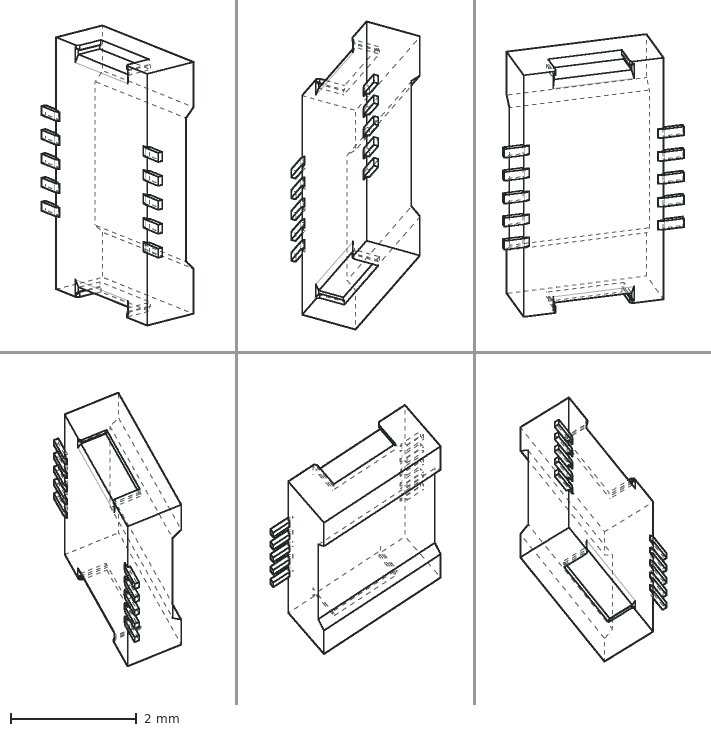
import cadquery as cq
import math

height = 4.22
span = 2.98
depth = 0.98
body_width = 2.32

lead_count = 5
lead_pitch = 0.4
lead_width = 0.15
lead_thickness = 0.08
lead_standoff = 0.035
bend_radius = 0.18
bend_reach = 0.093

recess_depth = 0.15
recess_margin = 0.755

pocket_depth = 0.475
mouth_half_width = 0.61
mouth_length = 0.085
chamber_step = 0.03
chamber_end = 0.16

bevel_depth = 0.042
bevel_side = 0.03
bevel_step = 0.042
bevel_end = 0.13

body_depth = depth - lead_standoff
half_height = height / 2


def make_body():
    """Block with a shallow recess across the middle of its back face."""
    slope_start = half_height - recess_margin
    slope_end = slope_start - recess_depth
    floor = body_depth - recess_depth
    profile = [
        (0, -half_height),
        (body_depth, -half_height),
        (body_depth, -slope_start),
        (floor, -slope_end),
        (floor, slope_end),
        (body_depth, slope_start),
        (body_depth, half_height),
        (0, half_height),
    ]
    return cq.Workplane("YZ").polyline(profile).close().extrude(body_width / 2, both=True)


def pocket_outline(side_growth, step_growth, end_growth):
    """T-shaped outline of the upper pocket in X and Z, grown by the bevel."""
    mouth = mouth_half_width + side_growth
    chamber = mouth + chamber_step
    step = half_height - mouth_length + step_growth
    end = half_height - chamber_end - end_growth
    return [
        (-mouth, half_height),
        (-mouth, step),
        (-chamber, step),
        (-chamber, end),
        (chamber, end),
        (chamber, step),
        (mouth, step),
        (mouth, half_height),
    ]


def make_pocket():
    """Cutter for the upper pocket, including its bevelled rim."""
    inner = pocket_outline(0, 0, 0)
    rim = pocket_outline(bevel_side, bevel_step, bevel_end)
    cavity = cq.Workplane("XZ").polyline(inner).close().extrude(-pocket_depth)
    bevel = (
        cq.Workplane("XZ")
        .polyline(rim).close()
        .workplane(offset=-bevel_depth)
        .polyline(inner).close()
        .loft(ruled=True)
    )
    return cavity.union(bevel)


def make_lead():
    """Right-hand lead at mid height: a flat strip whose inner end bends towards the front face."""
    outer_y = -lead_standoff
    inner_y = outer_y + lead_thickness
    bend_x = body_width / 2
    bend_centre_y = outer_y + bend_radius
    bend_angle = math.asin(bend_reach / bend_radius)

    def bend_point(angle):
        return (bend_x - bend_radius * math.sin(angle), bend_centre_y - bend_radius * math.cos(angle))

    return (
        cq.Workplane("XY")
        .moveTo(span / 2, inner_y)
        .lineTo(span / 2, outer_y)
        .lineTo(bend_x, outer_y)
        .threePointArc(bend_point(bend_angle / 2), bend_point(bend_angle))
        .lineTo(bend_x - bend_reach, inner_y)
        .close()
        .extrude(lead_width / 2, both=True)
    )


result = make_body()

upper_pocket = make_pocket()
result = result.cut(upper_pocket).cut(upper_pocket.mirror("XY"))

right_lead = make_lead()
left_lead = right_lead.mirror("YZ")
for index in range(lead_count):
    lead_z = (index - (lead_count - 1) / 2) * lead_pitch
    for lead in (right_lead, left_lead):
        result = result.union(lead.translate((0, 0, lead_z)))